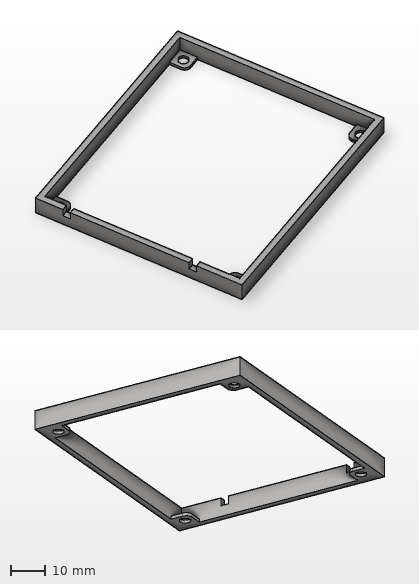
import cadquery as cq

LENGTH_X = 70.0
LENGTH_Y = 80.5
HEIGHT = 6.0
WALL = 2.0

TAB_REACH = 8.0
TAB_THICKNESS = 1.0
TAB_CORNER_RADIUS = 2.0
HOLE_DIAMETER = 3.3
HOLE_INSET = 5.0

NOTCH_WIDTH = 2.5
NOTCH_DEPTH = 2.5
NOTCH_PITCH = 42.8
NOTCH_PAIR_CENTER_X = -3.05

CORNERS = [(sx, sy) for sx in (-1, 1) for sy in (-1, 1)]


def make_frame():
    """Open rectangular ring of full height."""
    outside = cq.Workplane("XY").rect(LENGTH_X, LENGTH_Y).extrude(HEIGHT)
    opening = (
        cq.Workplane("XY")
        .rect(LENGTH_X - 2 * WALL, LENGTH_Y - 2 * WALL)
        .extrude(HEIGHT)
    )
    return outside.cut(opening)


def make_tab(side_x, side_y):
    """Thin corner tab with its free corner rounded; the signs pick the frame corner."""
    center_x = side_x * (LENGTH_X - TAB_REACH) / 2
    center_y = side_y * (LENGTH_Y - TAB_REACH) / 2
    free_x = "<X" if side_x > 0 else ">X"
    free_y = "<Y" if side_y > 0 else ">Y"
    return (
        cq.Workplane("XY")
        .center(center_x, center_y)
        .rect(TAB_REACH, TAB_REACH)
        .extrude(TAB_THICKNESS)
        .edges("|Z")
        .edges(free_x)
        .edges(free_y)
        .fillet(TAB_CORNER_RADIUS)
    )


def make_screw_holes():
    """Four cylinders that pass through the tabs."""
    hole_centers = [
        (sx * (LENGTH_X / 2 - HOLE_INSET), sy * (LENGTH_Y / 2 - HOLE_INSET))
        for sx, sy in CORNERS
    ]
    return (
        cq.Workplane("XY")
        .pushPoints(hole_centers)
        .circle(HOLE_DIAMETER / 2)
        .extrude(TAB_THICKNESS)
    )


def make_notches():
    """Two boxes that cross the -Y wall and open at its top."""
    notch_y = (WALL - LENGTH_Y) / 2
    notch_centers = [
        (NOTCH_PAIR_CENTER_X + side * NOTCH_PITCH / 2, notch_y) for side in (-1, 1)
    ]
    return (
        cq.Workplane("XY", origin=(0, 0, HEIGHT - NOTCH_DEPTH))
        .pushPoints(notch_centers)
        .rect(NOTCH_WIDTH, WALL)
        .extrude(NOTCH_DEPTH)
    )


result = make_frame()
for corner_x, corner_y in CORNERS:
    result = result.union(make_tab(corner_x, corner_y))
result = result.cut(make_screw_holes()).cut(make_notches())